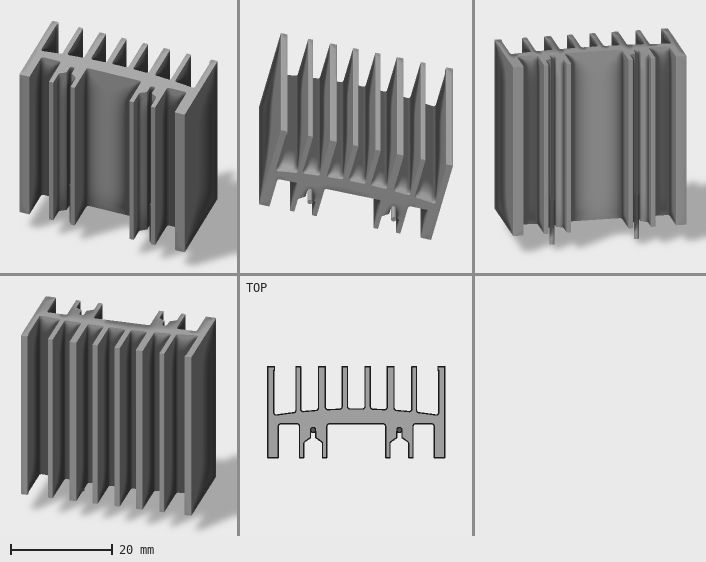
import cadquery as cq
import math

total_height = 39.0
width = 35.0
depth = 18.0
body_height = 35.0
half_width = width / 2

web_front = 6.7
web_crown = 9.67
crown_radius = 104.13
root_fillet = 0.45

tip_fillet = 0.1

front_wall_thickness = 2.15
back_wall_thickness = 1.25
lip_thickness = 1.4
lip_length = 0.78

back_fins = [(2.25, 1.1), (6.8, 1.4), (11.43, 0.98)]

holder_centre = 8.5
holder_width = 5.45
fork_opening = 3.63
fork_depth = 3.1
slot_start = 3.98
fork_fillet = 0.5
slot_mouth_fillet = 0.25

pin_diameter = 1.0
pin_centre_y = 5.5
pin_length = 9.35
pin_protrusion = total_height - body_height
pin_radius = pin_diameter / 2

margin = 0.05


def block(x_min, x_max, y_min, y_max):
    """Full-height block between the given X and Y limits."""
    return (
        cq.Workplane("XY")
        .moveTo((x_min + x_max) / 2, (y_min + y_max) / 2)
        .rect(x_max - x_min, y_max - y_min)
        .extrude(body_height)
    )


def make_web():
    crown_drop = crown_radius - math.sqrt(crown_radius**2 - half_width**2)
    web_edge = web_crown - crown_drop
    return (
        cq.Workplane("XY")
        .moveTo(-half_width, web_front)
        .lineTo(half_width, web_front)
        .lineTo(half_width, web_edge)
        .threePointArc((0, web_crown), (-half_width, web_edge))
        .close()
        .extrude(body_height)
    )


def make_side_wall():
    """Side wall on the +X side."""
    front = block(half_width - front_wall_thickness, half_width, 0, web_front)
    back = block(half_width - back_wall_thickness, half_width, web_front, depth)
    lip = block(half_width - lip_thickness, half_width, depth - lip_length, depth)
    return front.union(back).union(lip)


def vertical_edges_between(solid, x_min, x_max, y_min, y_max):
    """Vertical edges of a full-height solid lying within the given X and Y limits."""
    zone = cq.selectors.BoxSelector((x_min, y_min, 0), (x_max, y_max, body_height))
    return solid.edges("|Z").edges(zone)


def make_holder_cavity():
    """Fork opening that tapers into a round-ended slot, on the +X side."""
    fork_left = holder_centre - fork_opening / 2
    fork_right = holder_centre + fork_opening / 2
    slot_left = holder_centre - pin_radius
    slot_right = holder_centre + pin_radius
    cavity = (
        cq.Workplane("XY")
        .moveTo(fork_left, 0)
        .lineTo(fork_right, 0)
        .lineTo(fork_right, fork_depth)
        .lineTo(slot_right, slot_start)
        .lineTo(slot_right, pin_centre_y)
        .threePointArc((holder_centre, pin_centre_y + pin_radius), (slot_left, pin_centre_y))
        .lineTo(slot_left, slot_start)
        .lineTo(fork_left, fork_depth)
        .close()
        .extrude(body_height)
    )
    x_limits = (fork_left - margin, fork_right + margin)
    fork_corners = vertical_edges_between(cavity, *x_limits, fork_depth - margin, fork_depth + margin)
    cavity = fork_corners.fillet(fork_fillet)
    slot_mouth = vertical_edges_between(cavity, *x_limits, slot_start - margin, slot_start + margin)
    return slot_mouth.fillet(slot_mouth_fillet)


def make_pin():
    """Pin on the +X side."""
    return (
        cq.Workplane("XY")
        .workplane(offset=-pin_protrusion)
        .moveTo(holder_centre, pin_centre_y)
        .circle(pin_radius)
        .extrude(pin_length)
    )


def add_both_sides(body, feature):
    """Join a +X side feature and its mirror image to the body."""
    return body.union(feature).union(feature.mirror("YZ"))


body = add_both_sides(make_web(), make_side_wall())
for fin_centre, fin_thickness in back_fins:
    fin_left = fin_centre - fin_thickness / 2
    body = add_both_sides(body, block(fin_left, fin_left + fin_thickness, web_front, depth))
holder_left = holder_centre - holder_width / 2
body = add_both_sides(body, block(holder_left, holder_left + holder_width, 0, web_front))
body = body.clean()

inner_limit = half_width - margin
roots = vertical_edges_between(body, -inner_limit, inner_limit, web_front - margin, web_crown + margin)
body = roots.fillet(root_fillet)

cavity = make_holder_cavity()
body = body.cut(cavity).cut(cavity.mirror("YZ"))

outer_limit = half_width + margin
for tip_y in (0, depth):
    tips = vertical_edges_between(body, -outer_limit, outer_limit, tip_y - margin, tip_y + margin)
    body = tips.fillet(tip_fillet)

result = add_both_sides(body, make_pin())